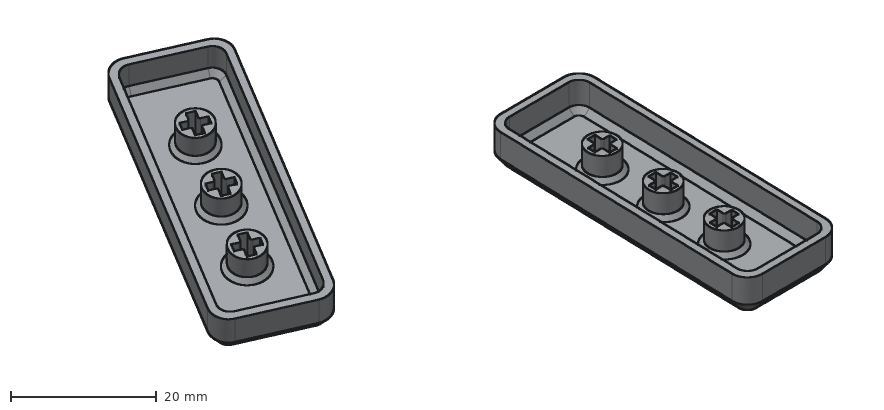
import cadquery as cq

LENGTH = 51.4
WIDTH = 18.05
HEIGHT = 6.7
CORNER_RADIUS = 3.0
BOTTOM_BEVEL_INSET = 1.45
BOTTOM_BEVEL_HEIGHT = 2.0

WALL = 1.35
CAVITY_CORNER_RADIUS = 2.0
FLOOR_Z = WALL
FLOOR_BEVEL_INSET = 1.05
FLOOR_BEVEL_HEIGHT = 1.05

STEM_COUNT = 3
STEM_PITCH = 12.0
STEM_DIAMETER = 5.6
STEM_TOP_Z = 5.7
FOOT_DIAMETER = 7.2
FOOT_HEIGHT = 0.75

CROSS_LENGTH_X = 4.3
CROSS_LENGTH_Y = 4.15
CROSS_ARM_X_WIDTH = 1.4
CROSS_ARM_Y_WIDTH = 1.35
CROSS_CORNER_RADIUS = 0.25


def rounded_block(length, width, radius, bottom_z, top_z):
    """Upright block with rounded vertical edges, centred on the Z axis."""
    block = cq.Workplane("XY").workplane(offset=bottom_z).rect(length, width).extrude(top_z - bottom_z)
    return block.edges("|Z").fillet(radius)


def bevelled_block(length, width, radius, bottom_z, top_z, bevel_height, bevel_inset):
    """Rounded block whose bottom rim is bevelled inwards."""
    block = rounded_block(length, width, radius, bottom_z, top_z)
    bottom_edges = block.faces("<Z").edges().vals()
    return cq.Workplane(block.val().chamfer(bevel_height, bevel_inset, bottom_edges))


def tray():
    body = bevelled_block(
        LENGTH, WIDTH, CORNER_RADIUS, 0, HEIGHT, BOTTOM_BEVEL_HEIGHT, BOTTOM_BEVEL_INSET
    )
    cavity = bevelled_block(
        LENGTH - 2 * WALL,
        WIDTH - 2 * WALL,
        CAVITY_CORNER_RADIUS,
        FLOOR_Z,
        HEIGHT,
        FLOOR_BEVEL_HEIGHT,
        FLOOR_BEVEL_INSET,
    )
    return body.cut(cavity)


def cross_socket():
    """Cross-shaped cutter from the floor to the stem top, rounded where its arms meet."""
    depth = STEM_TOP_Z - FLOOR_Z
    base = cq.Workplane("XY").workplane(offset=FLOOR_Z)
    arm_x = base.rect(CROSS_LENGTH_X, CROSS_ARM_X_WIDTH).extrude(depth)
    arm_y = base.rect(CROSS_ARM_Y_WIDTH, CROSS_LENGTH_Y).extrude(depth)
    inner_corners = cq.selectors.BoxSelector(
        (-CROSS_ARM_Y_WIDTH, -CROSS_ARM_X_WIDTH, FLOOR_Z),
        (CROSS_ARM_Y_WIDTH, CROSS_ARM_X_WIDTH, STEM_TOP_Z),
    )
    return arm_x.union(arm_y).edges("|Z").edges(inner_corners).fillet(CROSS_CORNER_RADIUS)


def stem():
    """Round stem with a conical foot, revolved about the Z axis."""
    stem_radius = STEM_DIAMETER / 2
    return (
        cq.Workplane("XZ")
        .moveTo(0, FLOOR_Z)
        .lineTo(FOOT_DIAMETER / 2, FLOOR_Z)
        .lineTo(stem_radius, FLOOR_Z + FOOT_HEIGHT)
        .lineTo(stem_radius, STEM_TOP_Z)
        .lineTo(0, STEM_TOP_Z)
        .close()
        .revolve(360, (0, 0, 0), (0, 1, 0))
        .cut(cross_socket())
    )


result = tray()
for index in range(STEM_COUNT):
    stem_x = (index - (STEM_COUNT - 1) / 2) * STEM_PITCH
    result = result.union(stem().translate((stem_x, 0, 0)))